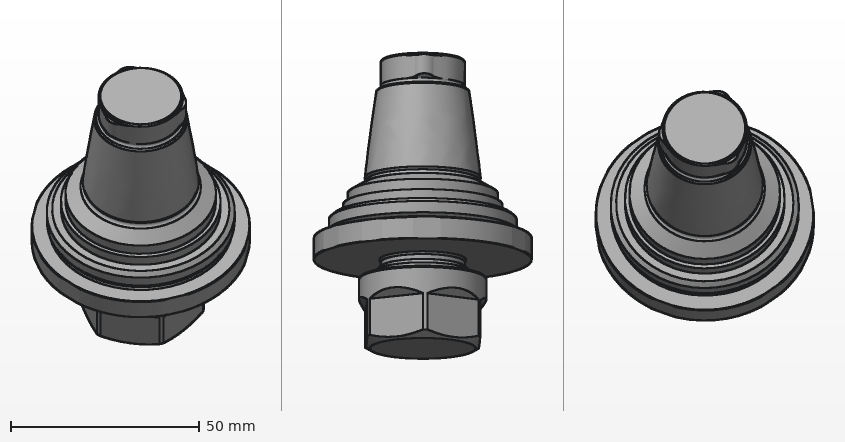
import cadquery as cq
import math

total_height = 78.0

nut_radius = 34.0 / 2
nut_height = 19.1
nut_top_chamfer = 0.5
nut_bottom_radius = 14.05
nut_bottom_bevel = 1.7
hex_across_flats = 30.0
hex_height = 11.55
hex_count = 6
cut_clearance = 0.8

shank_radius = 25.0 / 2
shank_top = 20.8
neck_radius = 22.5 / 2
neck_bottom = 22.0
neck_top = 23.3
neck_flare = 0.3

flange_radius = 29.0
flange_bottom = 24.0
flange_top = 29.95
flange_chamfer = 0.15
rim_flat_distance = 28.8
rim_flat_count = 6
y_flat_distance = 28.85

groove_mouth_radius = 24.6
groove_radius = 48.1 / 2
groove_bottom = 30.5
groove_top = 31.05
collar_radius = 50.0 / 2
collar_bottom = 31.9
collar_bevel_start = 34.95
collar_bevel_radius = 23.95
collar_bevel_end = 35.8
collar_top_radius = 23.55
collar_top = 36.0
lower_step_radius = 42.4 / 2
lower_step_top = 38.9
upper_step_radius = 40.0 / 2
upper_step_top = 42.0

shoulder_radius = 16.0
shoulder_top = 44.4
relief_radius = 15.2
relief_middle = 44.8
relief_end = 45.55
relief_end_radius = 15.05
cone_bottom = 46.25
cone_bottom_radius = 15.45
cone_middle = 57.9
cone_middle_radius = 14.05
cone_top = 69.5
cone_top_radius = 12.4

head_groove_outer_radius = 11.85
head_groove_start = 70.0
head_groove_radius = 11.15
head_groove_floor = 70.5
head_radius = 22.5 / 2
head_bottom = 71.1
head_chamfer = 0.5
lobe_count = 3
lobe_first_angle = 60.0
lobe_radius = 12.25
lobe_tip_half_width = 2.4
lobe_tip_start = 11.3
lobe_base_half_width = 4.6
lobe_top = 77.3


def turned_body():
    """Revolved profile of everything except the flats and the lobes."""
    profile = (
        cq.Workplane("XZ")
        .lineTo(nut_bottom_radius, 0)
        .lineTo(nut_radius, nut_bottom_bevel)
        .lineTo(nut_radius, nut_height - nut_top_chamfer)
        .lineTo(nut_radius - nut_top_chamfer, nut_height)
        .lineTo(shank_radius, nut_height)
        .lineTo(shank_radius, shank_top)
        .lineTo(neck_radius, neck_bottom)
        .lineTo(neck_radius, neck_top)
        .lineTo(neck_radius + neck_flare, flange_bottom)
        .lineTo(flange_radius - flange_chamfer, flange_bottom)
        .lineTo(flange_radius, flange_bottom + flange_chamfer)
        .lineTo(flange_radius, flange_top - flange_chamfer)
        .lineTo(flange_radius - flange_chamfer, flange_top)
        .lineTo(groove_mouth_radius, flange_top)
        .lineTo(groove_radius, groove_bottom)
        .lineTo(groove_radius, groove_top)
        .lineTo(collar_radius, collar_bottom)
        .lineTo(collar_radius, collar_bevel_start)
        .lineTo(collar_bevel_radius, collar_bevel_end)
        .lineTo(collar_top_radius, collar_top)
        .lineTo(lower_step_radius, collar_top)
        .lineTo(lower_step_radius, lower_step_top)
        .lineTo(upper_step_radius, lower_step_top)
        .lineTo(upper_step_radius, upper_step_top)
        .lineTo(shoulder_radius, shoulder_top)
        .threePointArc((relief_radius, relief_middle), (relief_end_radius, relief_end))
        .lineTo(cone_bottom_radius, cone_bottom)
        .threePointArc((cone_middle_radius, cone_middle), (cone_top_radius, cone_top))
        .lineTo(head_groove_outer_radius, head_groove_start)
        .threePointArc((head_groove_radius, head_groove_floor), (head_radius, head_bottom))
        .lineTo(head_radius, total_height - head_chamfer)
        .lineTo(head_radius - head_chamfer, total_height)
        .lineTo(0, total_height)
        .close()
    )
    return profile.revolve(360, (0, 0, 0), (0, 1, 0))


def hex_flat_cutter(angle):
    """Removes one wrench flat, ending in a 45 degree ramp at its upper end."""
    flat = hex_across_flats / 2
    outer = nut_radius + cut_clearance
    return (
        cq.Workplane("XZ")
        .moveTo(flat, -cut_clearance)
        .lineTo(outer, -cut_clearance)
        .lineTo(outer, hex_height + outer - flat)
        .lineTo(flat, hex_height)
        .close()
        .extrude(nut_radius, both=True)
        .rotate((0, 0, 0), (0, 0, 1), angle)
    )


def rim_flat_cutter(distance, angle):
    """Removes a shallow flat from the flange rim."""
    depth = flange_radius
    return (
        cq.Workplane("XY")
        .workplane(offset=flange_bottom)
        .center(distance + depth / 2, 0)
        .rect(depth, flange_radius)
        .extrude(flange_top - flange_bottom)
        .rotate((0, 0, 0), (0, 0, 1), angle)
    )


def lobe(angle):
    """Locking lobe with a round tip, straight flanks and a conical underside."""
    base_x = math.sqrt(head_radius**2 - lobe_base_half_width**2)
    blank = (
        cq.Workplane("XY")
        .workplane(offset=head_bottom)
        .lineTo(base_x, -lobe_base_half_width)
        .lineTo(lobe_tip_start, -lobe_tip_half_width)
        .threePointArc((lobe_radius, 0), (lobe_tip_start, lobe_tip_half_width))
        .lineTo(base_x, lobe_base_half_width)
        .close()
        .extrude(lobe_top - head_bottom)
    )
    envelope = (
        cq.Workplane("XZ")
        .moveTo(0, head_bottom)
        .lineTo(head_radius, head_bottom)
        .lineTo(lobe_radius, head_bottom + lobe_radius - head_radius)
        .lineTo(lobe_radius, lobe_top)
        .lineTo(0, lobe_top)
        .close()
        .revolve(360, (0, 0, 0), (0, 1, 0))
    )
    return blank.intersect(envelope).rotate((0, 0, 0), (0, 0, 1), angle)


result = turned_body()

for i in range(hex_count):
    result = result.cut(hex_flat_cutter(360 / hex_count * (i + 0.5)))

for i in range(rim_flat_count):
    result = result.cut(rim_flat_cutter(rim_flat_distance, 360 / rim_flat_count * i))
for angle in (90, 270):
    result = result.cut(rim_flat_cutter(y_flat_distance, angle))

for i in range(lobe_count):
    result = result.union(lobe(lobe_first_angle + 360 / lobe_count * i))